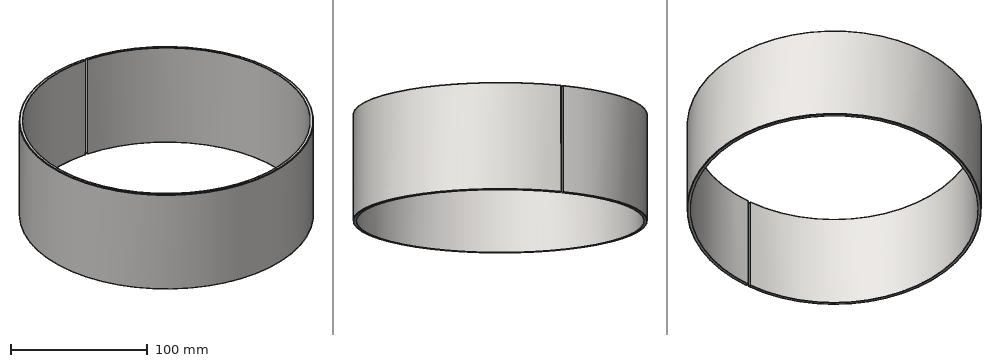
import cadquery as cq

outer_diameter = 215.0
wall_thickness = 2.5
height = 80.0
outer_chamfer = 0.5
inner_chamfer = 0.2
slit_angle = 1.0

outer_radius = outer_diameter / 2
band_angle = 360.0 - slit_angle


def make_band():
    """Open ring on the XY plane, swept from the -X axis and stopping short to leave a slit."""
    return (
        cq.Workplane("XZ")
        .moveTo(-outer_radius, 0)
        .rect(wall_thickness, height, centered=False)
        .revolve(band_angle, (0, 0, 0), (0, 1, 0))
    )


def chamfer_rims(band, radius_rank, size):
    """Chamfer the top and bottom rim arcs at one radius: rank 0 is the bore, rank -1 the outside."""
    rim_arcs = band.edges("%CIRCLE").edges(cq.selectors.RadiusNthSelector(radius_rank))
    return rim_arcs.chamfer(size)


band = make_band()
band = chamfer_rims(band, -1, outer_chamfer)
result = chamfer_rims(band, 0, inner_chamfer)